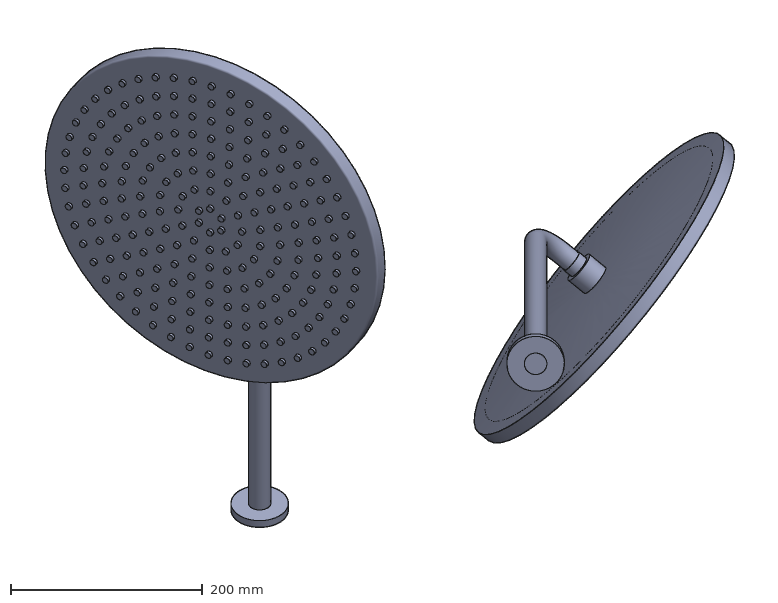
import cadquery as cq
import math


flange_diameter = 60.0
flange_thickness = 9.0
arm_diameter = 23.5
bend_radius = 37.5
arm_axis_height = 451.4
stub_length = 12.0
riser_height = arm_axis_height - bend_radius

ring_diameter = 24.7
ring_length = 10.0
collar_diameter = 35.0
ring_start = bend_radius + stub_length
collar_start = ring_start + ring_length
head_tilt = 1.0

head_radius = 400.0 / 2
disc_back = 87.35
disc_thickness = 15.7
face_fillet = 2.2
cover_lip = 0.3
dome_height = 5.55
disc_face = disc_back + disc_thickness
dome_edge = disc_back - cover_lip
dome_top = dome_edge - dome_height
dome_sphere_radius = (head_radius**2 + dome_height**2) / (2 * dome_height)

plate_diameter = 365.0
plate_thickness = 2.0
plate_front = disc_back + plate_thickness
nozzle_diameter = 7.0
nozzle_projection = 3.3
nozzle_length = disc_face + nozzle_projection - plate_front
nozzle_rings = 8
nozzles_in_inner_ring = 6
inner_ring_radius = 15.5
outer_ring_radius = 175.0
ring_pitch = (outer_ring_radius - inner_ring_radius) / (nozzle_rings - 1)


def across_arm(distance):
    """Workplane square to the arm axis, facing -Y, at a distance from the riser axis."""
    plane = cq.Plane(origin=(0, -distance, arm_axis_height), xDir=(1, 0, 0), normal=(0, -1, 0))
    return cq.Workplane(plane)


def arm_cylinder(diameter, start, length):
    """Cylinder along the arm axis."""
    return across_arm(start).circle(diameter / 2).extrude(length)


def tilt(body):
    """Tilt a body about the point on the arm axis where the collar starts."""
    axis_start = (0, -collar_start, arm_axis_height)
    axis_end = (1, -collar_start, arm_axis_height)
    return body.rotate(axis_start, axis_end, -head_tilt)


def make_arm():
    """Riser, quarter bend and short horizontal stub in one tube shape."""
    path = (
        cq.Workplane("YZ")
        .lineTo(0, riser_height)
        .radiusArc((-bend_radius, arm_axis_height), -bend_radius)
        .lineTo(-ring_start, arm_axis_height)
    )
    return cq.Workplane("XY").circle(arm_diameter / 2).sweep(path)


def make_flange(arm):
    """Round base with the riser passing through it."""
    return cq.Workplane("XY").circle(flange_diameter / 2).extrude(flange_thickness).cut(arm)


def make_cover():
    """Shallow spherical dome with a thin lip, seated on the back of the disc."""
    mid_radius = head_radius / 2
    mid_drop = dome_sphere_radius - math.sqrt(dome_sphere_radius**2 - mid_radius**2)
    profile = (
        cq.Workplane("XY", origin=(0, 0, arm_axis_height))
        .moveTo(0, -dome_top)
        .threePointArc((mid_radius, -dome_top - mid_drop), (head_radius, -dome_edge))
        .lineTo(head_radius, -disc_back)
        .lineTo(0, -disc_back)
        .close()
    )
    return tilt(profile.revolve(360, (0, 0, 0), (0, 1, 0)))


def make_nozzle_plate():
    """Plate and all its nozzles as one body."""
    plate = arm_cylinder(plate_diameter, disc_back, plate_thickness)
    for index in range(nozzle_rings):
        radius = inner_ring_radius + index * ring_pitch
        count = nozzles_in_inner_ring * (index + 1)
        centers = across_arm(plate_front).polarArray(radius, 90, 360, count)
        plate = plate.union(centers.circle(nozzle_diameter / 2).extrude(nozzle_length))
    return tilt(plate)


def make_disc(nozzle_plate):
    """Face disc with a rounded front edge, recessed and drilled for the nozzle plate."""
    disc = arm_cylinder(2 * head_radius, disc_back, disc_thickness)
    disc = disc.faces("<Y").edges().fillet(face_fillet)
    return tilt(disc).cut(nozzle_plate)


def make_collar(cover):
    """Tilted collar that ends on the domed cover."""
    return tilt(arm_cylinder(collar_diameter, collar_start, disc_back - collar_start)).cut(cover)


def make_ring(collar):
    """Ring on the end of the arm, trimmed to the tilted back of the collar."""
    trim_allowance = ring_diameter * math.tan(math.radians(head_tilt))
    return arm_cylinder(ring_diameter, ring_start, ring_length + trim_allowance).cut(collar)


arm = make_arm()
flange = make_flange(arm)
cover = make_cover()
nozzle_plate = make_nozzle_plate()
disc = make_disc(nozzle_plate)
collar = make_collar(cover)
ring = make_ring(collar)

result = cq.Compound.makeCompound(
    [body.val() for body in (flange, arm, ring, collar, cover, disc, nozzle_plate)]
)